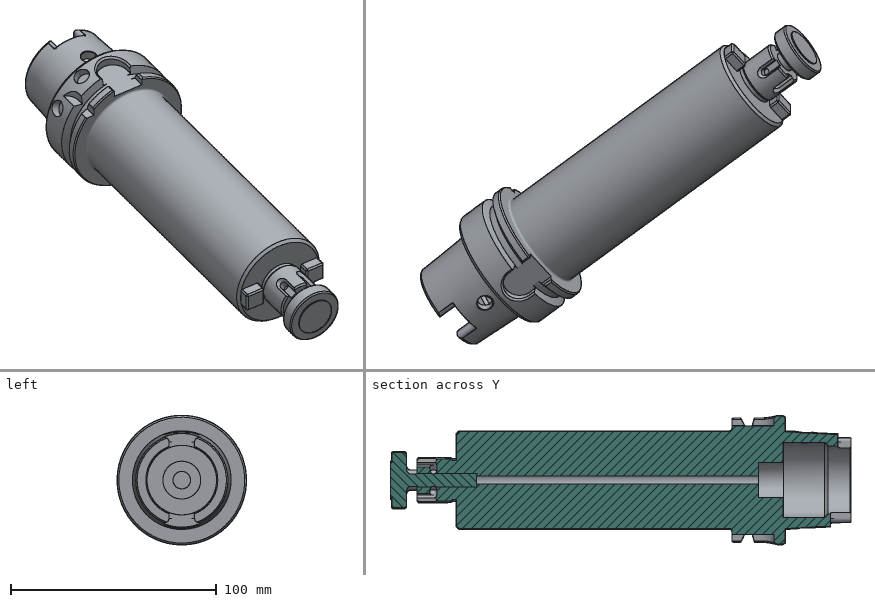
import cadquery as cq
import math


taper_length = 32.0
taper_large_radius = 24.0
taper_small_radius = 22.4
taper_edge_length = 1.1
taper_edge_drop = 0.7
mouth_radius = 16.9
mouth_chamfer = 0.6
mouth_depth = 11.3
cavity_radius = 18.5
cavity_floor_x = 1.0
cross_hole_x = -9.2
cross_hole_radius = 3.75
cross_hole_chamfer = 0.6
tube_seat_radius = 9.2
tube_seat_depth = 12.0
coolant_radius = 4.25

notch_width = 12.54
notch_depth_top = 6.5
notch_depth_bottom = 10.0
notch_corner_radius = 1.3
notch_flare_radius = 2.0

flange_radius = 31.5
flange_length = 26.0
flange_front_edge = 1.3
flange_front_drop = 0.9
flange_back_edge = 0.8
flange_back_drop = 0.5
groove_front_x = 15.0
groove_back_x = 21.7
groove_floor_front_x = 16.2
groove_floor_back_x = 19.6
groove_radius = 27.2

gripper_width = 15.8
gripper_start_x = 4.6
gripper_floor = 26.5
gripper_chamfer = 1.0
index_wall = 20.0
index_radius = 7.0
index_straight_x = 12.4
chip_hole_x = 6.2
chip_hole_radius = 4.0
chip_hole_depth = 4.5
chip_hole_angles = (26.6, 63.4)

body_radius = 24.0
body_end_x = 160.0
body_edge = 1.4
body_root_radius = 1.1
spigot_radius = 11.0
spigot_length = 19.0
spigot_chamfer = 0.8
relief_radius = 10.4
relief_length = 1.8
relief_taper = 0.8
slot_angles = (33.0, -33.0, 147.0, -147.0)
slot_width = 5.6
slot_start = 8.2
slot_chamfer = 1.1
slot_chamfer_lean = 38.0
slot_floor = 7.6

key_width = 10.0
key_height = 5.4
key_inner = 12.2
key_outer = 22.4
key_chamfer = 0.8

shank_radius = 5.0
shank_start_x = 150.0
root_radius = 1.8
seat_x = 184.0
head_radius = 14.0
head_chamfer = 0.9
head_end_x = 191.35
head_end_edge = 0.8
head_end_drop = 0.5
crown_radius = 9.4
overall_end_x = 191.95

spigot_end_x = body_end_x + spigot_length


def revolve_about_x(points):
    """Solid of revolution about X from (x, radius) points, closed along the axis."""
    outline = [(points[0][0], 0)] + points + [(points[-1][0], 0)]
    return cq.Workplane("XY").polyline(outline).close().revolve(360, (0, 0), (1, 0))


def outer_form():
    front_rim = flange_radius - flange_front_drop
    back_rim = flange_radius - flange_back_drop
    root_center = (flange_length + body_root_radius, body_radius + body_root_radius)
    diagonal = body_root_radius * math.sqrt(0.5)
    return (
        cq.Workplane("XY")
        .moveTo(-taper_length, 0)
        .lineTo(-taper_length, taper_small_radius - taper_edge_drop)
        .lineTo(-taper_length + taper_edge_length, taper_small_radius)
        .lineTo(0, taper_large_radius)
        .lineTo(0, front_rim)
        .lineTo(flange_front_edge, flange_radius)
        .lineTo(groove_front_x, flange_radius)
        .lineTo(groove_floor_front_x, groove_radius)
        .lineTo(groove_floor_back_x, groove_radius)
        .lineTo(groove_back_x, flange_radius)
        .lineTo(flange_length - flange_back_edge, flange_radius)
        .lineTo(flange_length, back_rim)
        .lineTo(flange_length, root_center[1])
        .threePointArc(
            (root_center[0] - diagonal, root_center[1] - diagonal),
            (root_center[0], body_radius),
        )
        .lineTo(body_end_x - body_edge, body_radius)
        .lineTo(body_end_x, body_radius - body_edge)
        .lineTo(body_end_x, relief_radius)
        .lineTo(body_end_x + relief_length, relief_radius)
        .lineTo(body_end_x + relief_length + relief_taper, spigot_radius)
        .lineTo(spigot_end_x - spigot_chamfer, spigot_radius)
        .lineTo(spigot_end_x, spigot_radius - spigot_chamfer)
        .lineTo(spigot_end_x, 0)
        .close()
        .revolve(360, (0, 0), (1, 0))
    )


def shank_cavity():
    mouth_end = -taper_length + mouth_depth
    return revolve_about_x([
        (-taper_length, mouth_radius + mouth_chamfer),
        (-taper_length + mouth_chamfer, mouth_radius),
        (mouth_end, mouth_radius),
        (mouth_end + cavity_radius - mouth_radius, cavity_radius),
        (cavity_floor_x, cavity_radius),
        (cavity_floor_x, tube_seat_radius),
        (cavity_floor_x + tube_seat_depth, tube_seat_radius),
        (cavity_floor_x + tube_seat_depth, coolant_radius),
        (shank_start_x, coolant_radius),
        (shank_start_x, shank_radius),
        (spigot_end_x, shank_radius),
    ])


def cross_hole():
    """Radial hole through both walls, countersunk where it leaves the taper."""
    hole = (
        cq.Workplane("XY", origin=(cross_hole_x, 0, -flange_radius))
        .circle(cross_hole_radius)
        .extrude(2 * flange_radius)
    )
    surface = taper_large_radius + cross_hole_x * (taper_large_radius - taper_small_radius) / taper_length
    sink = (
        cq.Workplane("XY", origin=(cross_hole_x, 0, surface - cross_hole_chamfer))
        .circle(cross_hole_radius)
        .workplane(offset=cross_hole_chamfer)
        .circle(cross_hole_radius + cross_hole_chamfer)
        .loft()
    )
    return hole.union(sink).union(sink.mirror("XY"))


def drive_notch(depth):
    """Notch through the +Z wall of the shank, its outer edges rolled outward."""
    half = notch_width / 2
    channel = (
        cq.Workplane("XY")
        .rect(2 * depth, notch_width)
        .extrude(flange_radius)
        .edges("|Z and >X")
        .fillet(notch_corner_radius)
        .translate((-taper_length, 0, 0))
    )
    center_y = half + notch_flare_radius
    center_z = math.sqrt((taper_small_radius - notch_flare_radius) ** 2 - center_y**2)
    radial_angle = math.atan2(center_z, center_y)
    mid_angle = (math.pi + radial_angle) / 2
    mid_y = center_y + notch_flare_radius * math.cos(mid_angle)
    mid_z = center_z + notch_flare_radius * math.sin(mid_angle)
    end_y = taper_small_radius * math.cos(radial_angle)
    end_z = taper_small_radius * math.sin(radial_angle)
    flare = (
        cq.Workplane("YZ", origin=(-taper_length, 0, 0))
        .moveTo(-half, center_z)
        .lineTo(half, center_z)
        .threePointArc((mid_y, mid_z), (end_y, end_z))
        .lineTo(end_y, flange_radius)
        .lineTo(-end_y, flange_radius)
        .lineTo(-end_y, end_z)
        .threePointArc((-mid_y, mid_z), (-half, center_z))
        .close()
        .extrude(depth)
    )
    return channel.union(flare)


def round_ended_pocket(start_x, end_x, width, floor, height, lean=0):
    """Cutter from floor up, round at start_x, its walls leaning outward by an angle."""
    radius = width / 2
    return (
        cq.Workplane("XY", origin=(0, 0, floor))
        .moveTo(end_x, radius)
        .lineTo(start_x + radius, radius)
        .threePointArc((start_x, 0), (start_x + radius, -radius))
        .lineTo(end_x, -radius)
        .close()
        .extrude(height, taper=-lean)
    )


def gripper_pocket():
    """Round-ended gripper pocket on +Z with a chamfered rim, open at the back of the flange."""
    disc = cq.Workplane("YZ").circle(flange_radius).extrude(flange_length)
    prism = round_ended_pocket(
        gripper_start_x, flange_length, gripper_width, gripper_floor, flange_radius - gripper_floor
    )
    rim_area = cq.selectors.BoxSelector(
        (0, -gripper_width, gripper_floor + gripper_chamfer),
        (flange_length - gripper_chamfer, gripper_width, flange_radius + gripper_chamfer),
    )
    chamfered_disc = disc.cut(prism).edges(rim_area).chamfer(gripper_chamfer)
    return disc.cut(chamfered_disc)


def index_notch():
    """Right-angled notch in the -Y +Z quarter of the flange, with a round end."""
    return (
        cq.Workplane("XY", origin=(0, 0, index_wall))
        .moveTo(flange_length, -index_wall)
        .lineTo(index_straight_x, -index_wall)
        .radiusArc((index_straight_x - index_radius, -index_wall - index_radius), -index_radius)
        .lineTo(index_straight_x - index_radius, -flange_radius)
        .lineTo(flange_length, -flange_radius)
        .close()
        .extrude(flange_radius - index_wall)
    )


def chip_hole(angle):
    """Blind radial hole in the flange, raised by the angle from -Y toward +Z."""
    hole = (
        cq.Workplane("XZ", origin=(chip_hole_x, chip_hole_depth - flange_radius, 0))
        .circle(chip_hole_radius)
        .extrude(2 * chip_hole_depth)
    )
    return hole.rotate((0, 0, 0), (1, 0, 0), -angle)


def spigot_slot(angle):
    """Coolant slot in the spigot with a chamfered rim, fed by a radial hole at its round end."""
    inner_width = slot_width - 2 * slot_chamfer
    inner_start = body_end_x + slot_start + slot_chamfer
    rim = math.sqrt(spigot_radius**2 - (slot_width / 2) ** 2)
    chamfer_base = rim - slot_chamfer / math.tan(math.radians(slot_chamfer_lean))
    end_x = spigot_end_x + slot_chamfer
    slot = round_ended_pocket(inner_start, end_x, inner_width, slot_floor, spigot_radius - slot_floor)
    chamfer_height = spigot_radius - chamfer_base
    chamfer = round_ended_pocket(
        inner_start, end_x, inner_width, chamfer_base, chamfer_height, slot_chamfer_lean
    )
    feed_hole = (
        cq.Workplane("XY", origin=(inner_start + inner_width / 2, 0, 0))
        .circle(inner_width / 2)
        .extrude(slot_floor)
    )
    cutter = slot.union(chamfer).union(feed_hole)
    return cutter.rotate((0, 0, 0), (1, 0, 0), angle)


def make_holder():
    holder = outer_form().cut(shank_cavity()).cut(cross_hole())
    holder = holder.cut(drive_notch(notch_depth_top))
    holder = holder.cut(drive_notch(notch_depth_bottom).mirror("XY"))
    holder = holder.cut(gripper_pocket()).cut(gripper_pocket().mirror("XY"))
    holder = holder.cut(index_notch())
    for angle in chip_hole_angles:
        holder = holder.cut(chip_hole(angle))
    for angle in slot_angles:
        holder = holder.cut(spigot_slot(angle))
    return holder


def make_key(side):
    """Drive key standing on the body face, on the +Y (1) or -Y (-1) side."""
    return (
        cq.Workplane("YZ", origin=(body_end_x, side * (key_inner + key_outer) / 2, 0))
        .rect(key_outer - key_inner, key_width)
        .extrude(key_height)
        .edges("not <X")
        .chamfer(key_chamfer)
    )


def make_screw():
    diagonal = root_radius * math.sqrt(0.5)
    root_center = (seat_x - root_radius, shank_radius + root_radius)
    return (
        cq.Workplane("XY")
        .moveTo(shank_start_x, 0)
        .lineTo(shank_start_x, shank_radius)
        .lineTo(root_center[0], shank_radius)
        .threePointArc(
            (root_center[0] + diagonal, root_center[1] - diagonal),
            (seat_x, root_center[1]),
        )
        .lineTo(seat_x, head_radius - head_chamfer)
        .lineTo(seat_x + head_chamfer, head_radius)
        .lineTo(head_end_x - head_end_edge, head_radius)
        .lineTo(head_end_x, head_radius - head_end_drop)
        .lineTo(head_end_x, crown_radius)
        .lineTo(overall_end_x, crown_radius)
        .lineTo(overall_end_x, 0)
        .close()
        .revolve(360, (0, 0), (1, 0))
    )


holder = make_holder()
keys = [make_key(side) for side in (1, -1)]
screw = make_screw()

result = cq.Compound.makeCompound([holder.val(), *[key.val() for key in keys], screw.val()])